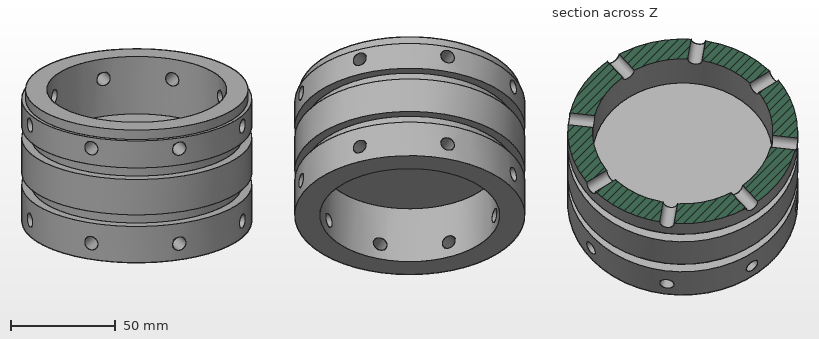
import cadquery as cq

outer_diameter = 109.7
height = 67.2

rim_diameter = 106.1
rim_height = 4.8

groove_diameter = 100.7
groove_width = 5.9
band_width = 18.1

bore_diameter = 85.7
web_thickness = 8.5
cavity_depth = (height - web_thickness) / 2

hole_diameter = 6.8
holes_per_row = 8
lower_row_z = 8.3
upper_row_z = 56.9

cut_margin = 2.2


def cylinder(diameter, length, base_z):
    return cq.Workplane("XY").workplane(offset=base_z).circle(diameter / 2).extrude(length)


def ring(inner_diameter, length, base_z):
    """Material to remove outside inner_diameter."""
    return cylinder(outer_diameter + cut_margin, length, base_z).cut(cylinder(inner_diameter, length, base_z))


def radial_hole_row(row_z):
    """Full-diameter drills; each one makes two opposite holes."""
    drill = (
        cq.Workplane("XZ", origin=(0, 0, row_z))
        .circle(hole_diameter / 2)
        .extrude(outer_diameter, both=True)
    )
    row = drill
    for index in range(1, holes_per_row // 2):
        row = row.union(drill.rotate((0, 0, 0), (0, 0, 1), index * 360 / holes_per_row))
    return row


body = cylinder(outer_diameter, height, 0)
body = body.cut(ring(rim_diameter, rim_height, height - rim_height))

lower_groove_z = (height - band_width) / 2 - groove_width
upper_groove_z = (height + band_width) / 2
for groove_z in (lower_groove_z, upper_groove_z):
    body = body.cut(ring(groove_diameter, groove_width, groove_z))

for cavity_z in (0, height - cavity_depth):
    body = body.cut(cylinder(bore_diameter, cavity_depth, cavity_z))

for row_z in (lower_row_z, upper_row_z):
    body = body.cut(radial_hole_row(row_z))

result = body